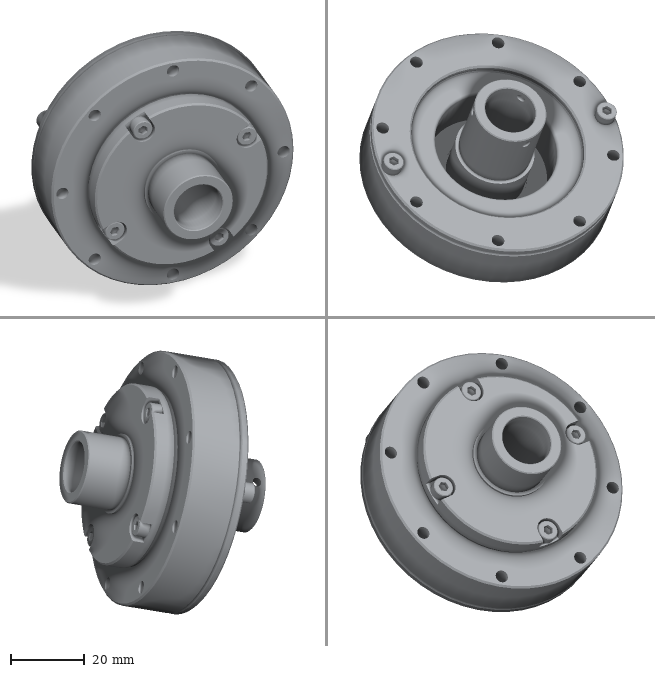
import cadquery as cq
import math


shaft_length = 52.5
shaft_diameter = 20.0
bore_diameter = 14.0
shaft_chamfer = 0.3
bore_chamfer = 0.245
collar_start = 20.0
collar_end = 40.2
collar_diameter = 22.0

housing_diameter = 70.0
cover_start = 16.0
cover_thickness = 2.4
body_end = 32.55
edge_chamfer = 0.5

recess_diameter = 49.0
recess_depth = 2.1
recess_chamfer = 0.5
recess_floor_chamfer = 0.35
cavity_diameter = 33.9
cavity_depth = 15.55
cavity_fillet = 0.85
seat_diameter = 33.95
seat_start_depth = 12.2
gap_diameter = 22.8
gap_depth = 0.7

neck_diameter = 49.0
disc_start = 33.5
disc_end = 39.5
disc_diameter = 50.0
disc_left_chamfer = 0.35

head_diameter = 5.5
head_height = 3.0
head_chamfer = 0.2
socket_flats = 2.5
socket_depth = 1.4
socket_point_depth = 0.7

cover_hole_count = 8
cover_hole_diameter = 3.5
cover_circle_radius = 32.0
cover_screw_angles = (22.5, 202.5)

disc_screw_angles = (60, 150, 240, 330)
disc_circle_radius = 22.05
slot_width = 6.5
slot_depth = 3.5

radial_hole_diameter = 2.45
radial_hole_x = 2.65
radial_hole_angles = (60, 180, 300)

cover_end = cover_start + cover_thickness


def cylinder(x_start, x_end, diameter):
    """Solid cylinder along the X axis."""
    return cq.Workplane("YZ").workplane(offset=x_start).circle(diameter / 2).extrude(x_end - x_start)


def at_angle(shape, angle):
    """Turn a shape lying on the -Y side about the X axis, from -Y toward +Z."""
    return shape.rotate((0, 0, 0), (1, 0, 0), -angle)


def screw_head():
    """Screw head standing on X = 0 and pointing toward +X, with a hexagon socket."""
    head = cylinder(0, head_height, head_diameter).faces(">X").chamfer(head_chamfer)
    hexagon_diameter = socket_flats / math.cos(math.pi / 6)
    socket_floor = head_height - socket_depth
    socket = (
        cq.Workplane("YZ").workplane(offset=socket_floor)
        .polygon(6, hexagon_diameter).extrude(socket_depth)
        .rotate((0, 0, 0), (1, 0, 0), 90)
    )
    point = cq.Workplane(cq.Solid.makeCone(
        socket_flats / 2, 0, socket_point_depth, cq.Vector(socket_floor, 0, 0), cq.Vector(-1, 0, 0)
    ))
    return head.cut(socket).cut(point)


def housing():
    cover = cylinder(cover_start, cover_end, housing_diameter).edges().chamfer(edge_chamfer)
    body = cylinder(cover_end, body_end, housing_diameter).edges().chamfer(edge_chamfer)
    neck = cylinder(body_end, disc_start, neck_diameter).faces(">X").chamfer(edge_chamfer)
    disc = cylinder(disc_start, disc_end, disc_diameter).faces(">X").chamfer(edge_chamfer)
    disc = disc.faces("<X").chamfer(disc_left_chamfer)
    return cover.union(body).union(neck).union(disc)


def cavity():
    """Turned void: recess, rounded mouth, slightly wider inner seat and a gap round the collar."""
    recess_floor = cover_start + recess_depth
    cavity_floor = cover_start + cavity_depth
    seat_start = cover_start + seat_start_depth
    gap_floor = cavity_floor + gap_depth
    recess_radius = recess_diameter / 2
    wall_radius = recess_radius - recess_chamfer
    cavity_radius = cavity_diameter / 2
    seat_radius = seat_diameter / 2
    gap_radius = gap_diameter / 2
    fillet_middle = cavity_fillet * (1 - math.sqrt(0.5))
    return (
        cq.Workplane("XY")
        .moveTo(cover_start, 0)
        .lineTo(cover_start, recess_radius)
        .lineTo(cover_start + recess_chamfer, wall_radius)
        .lineTo(recess_floor - recess_floor_chamfer, wall_radius)
        .lineTo(recess_floor, wall_radius - recess_floor_chamfer)
        .lineTo(recess_floor, cavity_radius + cavity_fillet)
        .threePointArc(
            (recess_floor + fillet_middle, cavity_radius + fillet_middle),
            (recess_floor + cavity_fillet, cavity_radius),
        )
        .lineTo(seat_start, cavity_radius)
        .lineTo(seat_start, seat_radius)
        .lineTo(cavity_floor, seat_radius)
        .lineTo(cavity_floor, gap_radius)
        .lineTo(gap_floor, gap_radius)
        .lineTo(gap_floor, 0)
        .close()
        .revolve(360, (0, 0, 0), (1, 0, 0))
    )


def shaft():
    tube = cylinder(0, shaft_length, shaft_diameter).edges().chamfer(shaft_chamfer)
    return tube.union(cylinder(collar_start, collar_end, collar_diameter))


def disc_slot():
    """Round-bottomed pocket at a disc screw, open to the rim and the right face."""
    floor = disc_end - slot_depth
    pocket = cylinder(floor, disc_end, slot_width).translate((0, -disc_circle_radius, 0))
    outlet = cq.Workplane("XY").box(
        slot_depth, disc_circle_radius, slot_width, centered=(False, False, True)
    )
    return pocket.union(outlet.translate((floor, -2 * disc_circle_radius, 0)))


result = housing().cut(cavity()).union(shaft()).cut(cylinder(0, shaft_length, bore_diameter))
result = result.faces("<X or >X").edges(cq.selectors.RadiusNthSelector(0)).chamfer(bore_chamfer)

cover_hole = cylinder(cover_start, body_end, cover_hole_diameter)
cover_hole = cover_hole.translate((0, -cover_circle_radius, 0))
for index in range(cover_hole_count):
    result = result.cut(at_angle(cover_hole, index * 360 / cover_hole_count))

cover_screw = screw_head().rotate((0, 0, 0), (0, 0, 1), 180)
for angle in cover_screw_angles:
    upright_screw = at_angle(cover_screw, -angle).translate((cover_start, -cover_circle_radius, 0))
    result = result.union(at_angle(upright_screw, angle))

disc_screw = screw_head().translate((disc_end - slot_depth, -disc_circle_radius, 0))
for angle in disc_screw_angles:
    result = result.cut(at_angle(disc_slot(), angle))
    result = result.union(at_angle(disc_screw, angle))

radial_hole = (
    cq.Workplane("XZ").center(radial_hole_x, 0)
    .circle(radial_hole_diameter / 2).extrude(shaft_diameter)
)
for angle in radial_hole_angles:
    result = result.cut(at_angle(radial_hole, angle))